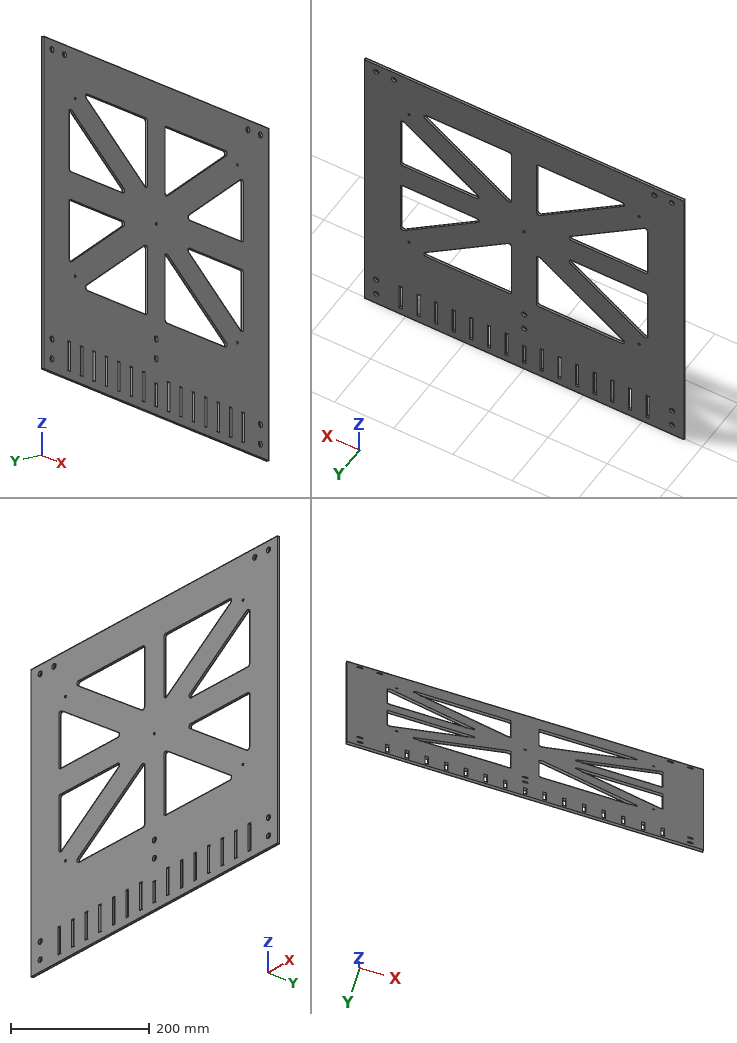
import cadquery as cq
import math

plate_width = 540.0
plate_height = 505.0
plate_thickness = 4.0

mount_hole_diameter = 8.4
mount_hole_side_inset = 20.0
mount_hole_pitch = 30.0
top_hole_inset = 15.0
bottom_hole_height = 20.0
center_hole_height = 85.0

window_width = 417.5
window_height = 298.5
window_center_height = 295.0
strut_width = 42.4
window_corner_radius = 4.0

small_hole_diameter = 3.3
small_hole_offset_x = 194.5
small_hole_offset_z = 135.0
small_center_hole_drop = 5.0

slot_count = 15
slot_row_span = 417.0
slot_pitch = slot_row_span / (slot_count - 1)
slot_width = 5.0
slot_bottom_height = 12.5
slot_length = 45.0
middle_slot_length = 35.0


def front_plane():
    """Workplane on the front face, local axes along +X and +Z."""
    return cq.Workplane("XZ")


def make_plate():
    outline = front_plane().center(0, plate_height / 2).rect(plate_width, plate_height)
    return outline.extrude(-plate_thickness)


def make_holes(points, diameter):
    return front_plane().pushPoints(points).circle(diameter / 2).extrude(-plate_thickness)


def mount_hole_points():
    outer_x = plate_width / 2 - mount_hole_side_inset
    top_z = plate_height - top_hole_inset
    points = []
    for side in (-1, 1):
        points.append((side * outer_x, top_z))
        points.append((side * (outer_x - mount_hole_pitch), top_z))
        points.append((side * outer_x, bottom_hole_height))
        points.append((side * outer_x, bottom_hole_height + mount_hole_pitch))
    points.append((0, center_hole_height))
    points.append((0, center_hole_height + mount_hole_pitch))
    return points


def small_hole_points():
    points = [(0, window_center_height - small_center_hole_drop)]
    for side_x in (-1, 1):
        for side_z in (-1, 1):
            hole_x = side_x * small_hole_offset_x
            hole_z = window_center_height + side_z * small_hole_offset_z
            points.append((hole_x, hole_z))
    return points


def make_window_triangles():
    """Eight rounded triangular openings, mirrored about the window centre."""
    half_width = window_width / 2
    half_height = window_height / 2
    half_strut = strut_width / 2
    slope = small_hole_offset_z / small_hole_offset_x
    edge_rise = half_strut * math.sqrt(1 + slope**2)

    upright_triangle = [
        (half_strut, half_height),
        ((half_height - edge_rise) / slope, half_height),
        (half_strut, slope * half_strut + edge_rise),
    ]
    side_triangle = [
        (half_width, half_strut),
        (half_width, slope * half_width - edge_rise),
        ((half_strut + edge_rise) / slope, half_strut),
    ]
    quarter = front_plane()
    for triangle in (upright_triangle, side_triangle):
        opening = front_plane().polyline(triangle).close().extrude(-plate_thickness)
        quarter = quarter.add(opening.edges("|Y").fillet(window_corner_radius))
    quarter = quarter.combine()
    half = quarter.union(quarter.mirror("YZ"))
    return half.union(half.mirror("XY")).translate((0, 0, window_center_height))


def make_slots():
    slots = front_plane()
    middle = slot_count // 2
    for index in range(slot_count):
        length = middle_slot_length if index == middle else slot_length
        slot = (
            front_plane()
            .center((index - middle) * slot_pitch, slot_bottom_height + length / 2)
            .rect(slot_width, length)
            .extrude(-plate_thickness)
        )
        slots = slots.add(slot)
    return slots.combine()


result = (
    make_plate()
    .cut(make_holes(mount_hole_points(), mount_hole_diameter))
    .cut(make_holes(small_hole_points(), small_hole_diameter))
    .cut(make_window_triangles())
    .cut(make_slots())
)